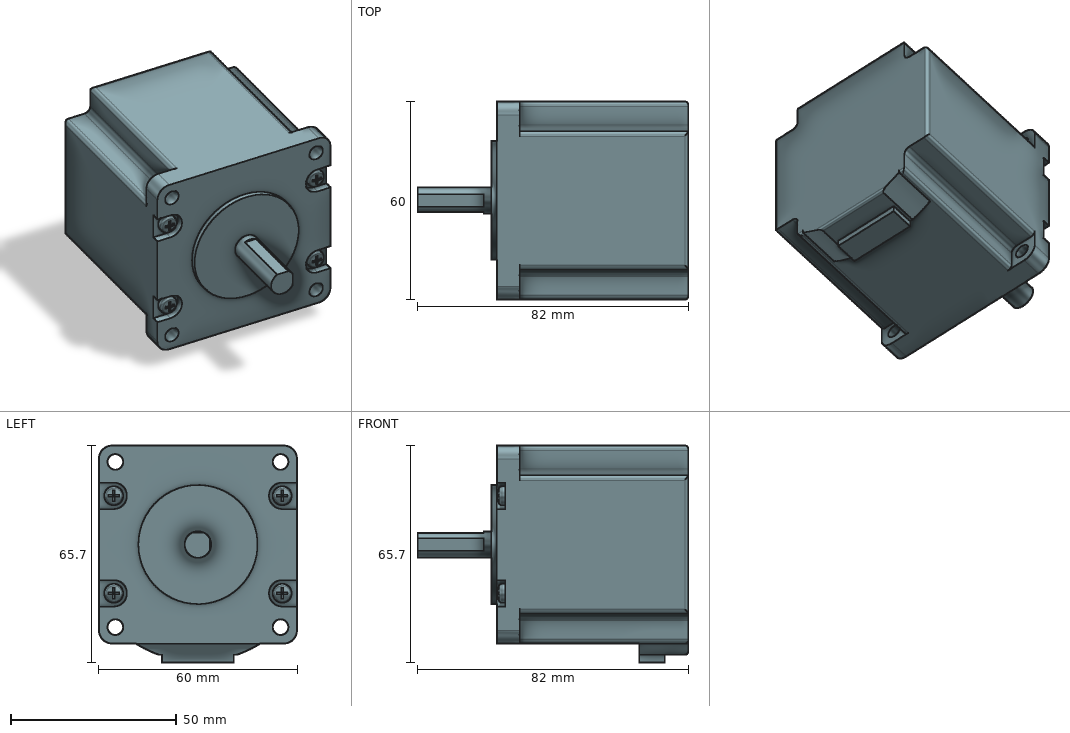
import cadquery as cq
import math

OVERALL_LENGTH = 82.0
SHAFT_LENGTH = 24.0
PILOT_HEIGHT = 1.6
FLANGE_THICKNESS = 6.9
REAR_COVER_START = 43.05
BODY_END = OVERALL_LENGTH - SHAFT_LENGTH

SIDE = 60.0
HALF_SIDE = SIDE / 2
FLANGE_CORNER_RADIUS = 4.1
NOTCH = 9.0
NOTCH_INNER_RADIUS = 2.0
NOTCH_OUTER_RADIUS = 1.5
REAR_EDGE_RADIUS = 1.1

HOLE_DIAMETER = 4.7
HOLE_SPACING = 50.0

PILOT_DIAMETER = 36.1
SHAFT_DIAMETER = 8.0
FLAT_LENGTH = 20.0
FLAT_DEPTH = 0.5

RECESS_DEPTH = 2.55
RECESS_WIDTH = 8.0
SCREW_Y = 25.5
SCREW_Z = 14.8

HEAD_RADIUS = 2.9
HEAD_CROWN_RADIUS = 2.4
HEAD_WALL_HEIGHT = 1.1
HEAD_CROWN_HEIGHT = 1.9
HEAD_HEIGHT = 2.4
DOME_MID_HEIGHT = 2.2
DRIVE_LENGTH = 3.3
DRIVE_WIDTH = 0.6
DRIVE_DEPTH = 1.15
DRIVE_END_DEPTH = 0.25

OUTLET_RADIUS = 35.4
OUTLET_DROP = 3.4
CONNECTOR_WIDTH = 21.8
CONNECTOR_LENGTH = 7.8
CONNECTOR_DROP = 5.7


def section(x):
    """Workplane across the axis at station x: local x is Y, local y is Z, normal is +X."""
    return cq.Workplane("YZ", origin=(x, 0, 0))


def make_flange():
    flange = section(0).rect(SIDE, SIDE).extrude(FLANGE_THICKNESS)
    flange = flange.edges("|X").fillet(FLANGE_CORNER_RADIUS)
    corners = section(0).rect(HOLE_SPACING, HOLE_SPACING, forConstruction=True).vertices()
    return flange.cut(corners.circle(HOLE_DIAMETER / 2).extrude(FLANGE_THICKNESS))


def make_body():
    """Square body, notched along its corners to clear the mounting holes."""
    start = section(FLANGE_THICKNESS)
    length = BODY_END - FLANGE_THICKNESS
    narrow = SIDE - 2 * NOTCH
    upright = start.rect(narrow, SIDE).extrude(length).edges("|X").fillet(NOTCH_OUTER_RADIUS)
    crossbar = start.rect(SIDE, narrow).extrude(length).edges("|X").fillet(NOTCH_OUTER_RADIUS)
    body = upright.union(crossbar)

    reach = HALF_SIDE - NOTCH / 2
    near_axis = cq.selectors.BoxSelector((0, -reach, -reach), (BODY_END, reach, reach))
    body = body.edges("|X").edges(near_axis).fillet(NOTCH_INNER_RADIUS)

    envelope = start.rect(SIDE, SIDE).extrude(length).edges(">X").fillet(REAR_EDGE_RADIUS)
    return body.intersect(envelope)


def make_outlet():
    """Flat-bottomed round bulge below the rear cover, with the connector under it."""
    flat_z = -HALF_SIDE - OUTLET_DROP
    root_z = -HALF_SIDE + NOTCH / 2
    flat_y = math.sqrt(OUTLET_RADIUS**2 - flat_z**2)
    root_y = math.sqrt(OUTLET_RADIUS**2 - HALF_SIDE**2)
    middle_z = -HALF_SIDE - OUTLET_DROP / 2
    middle_y = math.sqrt(OUTLET_RADIUS**2 - middle_z**2)
    bulge = (
        section(REAR_COVER_START)
        .moveTo(-root_y, root_z)
        .lineTo(-root_y, -HALF_SIDE)
        .threePointArc((-middle_y, middle_z), (-flat_y, flat_z))
        .lineTo(flat_y, flat_z)
        .threePointArc((middle_y, middle_z), (root_y, -HALF_SIDE))
        .lineTo(root_y, root_z)
        .close()
        .extrude(BODY_END - REAR_COVER_START)
    )
    bulge = bulge.faces("<Z").edges(">X").fillet(REAR_EDGE_RADIUS)

    connector_height = CONNECTOR_DROP - OUTLET_DROP / 2
    connector_z = -HALF_SIDE - CONNECTOR_DROP + connector_height / 2
    connector = (
        section(REAR_COVER_START)
        .center(0, connector_z)
        .rect(CONNECTOR_WIDTH, connector_height)
        .extrude(CONNECTOR_LENGTH)
    )
    return bulge.union(connector)


def make_shaft():
    shaft = section(-SHAFT_LENGTH).circle(SHAFT_DIAMETER / 2).extrude(SHAFT_LENGTH)
    flat_offset = SHAFT_DIAMETER - FLAT_DEPTH
    blank = section(-SHAFT_LENGTH).rect(SHAFT_DIAMETER, SHAFT_DIAMETER).extrude(FLAT_LENGTH)
    shaft = shaft.cut(blank.translate((0, 0, flat_offset)))
    shaft = shaft.cut(blank.translate((0, -flat_offset, 0)))
    pilot = section(-PILOT_HEIGHT).circle(PILOT_DIAMETER / 2).extrude(PILOT_HEIGHT)
    return pilot.union(shaft)


def make_recess(y, z):
    """Round-ended recess running from the screw out through the nearest side."""
    outward = math.copysign(SCREW_Y, y)
    round_end = section(0).center(y, z).circle(RECESS_WIDTH / 2).extrude(RECESS_DEPTH)
    channel = section(0).center(y + outward / 2, z).rect(SCREW_Y, RECESS_WIDTH).extrude(RECESS_DEPTH)
    return round_end.union(channel)


def make_screw_head():
    """Screw head on the axis, standing on the recess floor and facing -X."""
    wall_x = RECESS_DEPTH - HEAD_WALL_HEIGHT
    crown_x = RECESS_DEPTH - HEAD_CROWN_HEIGHT
    dome_mid_x = RECESS_DEPTH - DOME_MID_HEIGHT
    top_x = RECESS_DEPTH - HEAD_HEIGHT
    slot_end_x = top_x + DRIVE_END_DEPTH
    head = (
        cq.Workplane("XY")
        .moveTo(RECESS_DEPTH, 0)
        .lineTo(RECESS_DEPTH, HEAD_RADIUS)
        .lineTo(wall_x, HEAD_RADIUS)
        .tangentArcPoint((crown_x, HEAD_CROWN_RADIUS), relative=False)
        .threePointArc((dome_mid_x, HEAD_CROWN_RADIUS / 2), (top_x, 0))
        .close()
        .revolve(360, (0, 0, 0), (1, 0, 0))
    )

    slot = (
        cq.Workplane("XY")
        .moveTo(top_x, -DRIVE_LENGTH / 2)
        .lineTo(slot_end_x, -DRIVE_LENGTH / 2)
        .lineTo(top_x + DRIVE_DEPTH, 0)
        .lineTo(slot_end_x, DRIVE_LENGTH / 2)
        .lineTo(top_x, DRIVE_LENGTH / 2)
        .close()
        .extrude(DRIVE_WIDTH / 2, both=True)
    )
    drive = slot.union(slot.rotate((0, 0, 0), (1, 0, 0), 90))
    return head.cut(drive)


result = make_flange().union(make_body()).union(make_outlet()).union(make_shaft())

screw_head = make_screw_head()
for screw_y in (-SCREW_Y, SCREW_Y):
    for screw_z in (-SCREW_Z, SCREW_Z):
        result = result.cut(make_recess(screw_y, screw_z))
        result = result.union(screw_head.translate((0, screw_y, screw_z)))